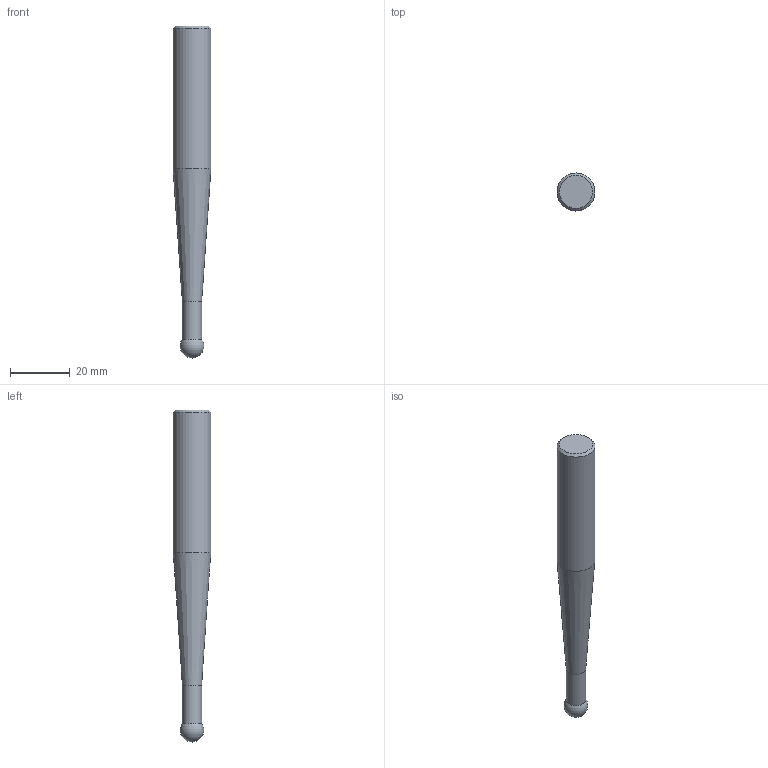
import cadquery as cq
import math

INCH = 25.4
total_length = 4.375 * INCH
shank_diameter = 0.5 * INCH
neck_diameter = 6.5
ball_diameter = 5 * INCH / 16
neck_top = 0.75 * INCH
taper_top = 2.5 * INCH
chamfer = INCH / 32

shank_radius = shank_diameter / 2
neck_radius = neck_diameter / 2
ball_radius = ball_diameter / 2

ball_top = ball_radius + math.sqrt(ball_radius**2 - neck_radius**2)


def revolve_about_z(profile):
    """Turn a closed half-profile in the XZ plane fully around the Z axis."""
    return profile.revolve(360, (0, 0, 0), (0, 1, 0))


def make_shank():
    """Chamfered cylinder that tapers down to a straight neck."""
    profile = (
        cq.Workplane("XZ")
        .moveTo(0, ball_top)
        .lineTo(neck_radius, ball_top)
        .lineTo(neck_radius, neck_top)
        .lineTo(shank_radius, taper_top)
        .lineTo(shank_radius, total_length - chamfer)
        .lineTo(shank_radius - chamfer, total_length)
        .lineTo(0, total_length)
        .close()
    )
    return revolve_about_z(profile)


def make_ball():
    """Ball cut flat where it meets the end of the neck."""
    profile = (
        cq.Workplane("XZ")
        .moveTo(0, 0)
        .threePointArc((ball_radius, ball_radius), (neck_radius, ball_top))
        .lineTo(0, ball_top)
        .close()
    )
    return revolve_about_z(profile)


shank = make_shank()
ball = make_ball()

result = cq.Compound.makeCompound([shank.val(), ball.val()])